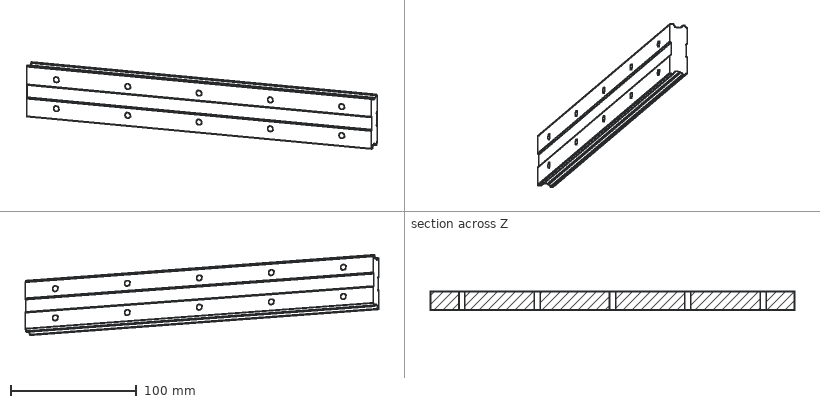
import cadquery as cq
import math

length = 290.0
thickness = 15.0
height = 42.0

ridge_to_back = 3.0
ridge_tip_width = 1.3
ridge_tip_chamfer = 0.45

raceway_radius = 1.7
raceway_start_angle = 11.0
raceway_end_angle = 90.0
foot_slope = 35.0

groove_depth = 2.4
lip_width = 3.0
lip_chamfer = 0.5
lip_wall_angle = 55.0

recess_width = 12.0
recess_depth = 1.0

hole_diameter = 4.5
hole_pitch = 60.0
holes_per_row = 5
row_spacing = 24.0

back = thickness / 2
front = -thickness / 2
top = height / 2
ridge = back - ridge_to_back


def raceway_point(side, angle):
    """Point of the raceway on one flank (side +1 faces the back, -1 the front)."""
    start = math.radians(raceway_start_angle)
    start_offset = ridge_tip_width / 2 + ridge_tip_chamfer
    centre_offset = start_offset + raceway_radius * math.cos(start)
    centre_z = top - ridge_tip_chamfer + raceway_radius * math.sin(start)
    normal = math.radians(angle)
    offset = centre_offset - raceway_radius * math.cos(normal)
    return (ridge + side * offset, centre_z - raceway_radius * math.sin(normal))


def make_upper_half():
    """Upper half of the rail, cut off at its horizontal middle plane."""
    middle_angle = (raceway_start_angle + raceway_end_angle) / 2
    recess_edge = recess_width / 2
    recess_floor_edge = recess_edge - recess_depth
    groove_floor = top - groove_depth
    lip = front + lip_width
    lip_foot = lip + groove_depth / math.tan(math.radians(lip_wall_angle))

    front_foot = raceway_point(-1, raceway_end_angle)
    back_foot = raceway_point(1, raceway_end_angle)
    foot_gradient = math.tan(math.radians(foot_slope))
    groove_back = front_foot[0] - (front_foot[1] - groove_floor) / foot_gradient
    back_corner = back_foot[1] - (back - back_foot[0]) * foot_gradient

    front_outline = [
        (front + recess_depth, recess_floor_edge),
        (front, recess_edge),
        (front, top - lip_chamfer),
        (front + lip_chamfer, top),
        (lip, top),
        (lip_foot, groove_floor),
        (groove_back, groove_floor),
        front_foot,
    ]
    ridge_tip = [
        (ridge - ridge_tip_width / 2, top),
        (ridge + ridge_tip_width / 2, top),
        raceway_point(1, raceway_start_angle),
    ]
    back_outline = [
        (back, back_corner),
        (back, recess_edge),
        (back - recess_depth, recess_floor_edge),
        (back - recess_depth, 0),
    ]
    return (
        cq.Workplane("YZ", origin=(-length / 2, 0, 0))
        .moveTo(front + recess_depth, 0)
        .polyline(front_outline, includeCurrent=True)
        .threePointArc(raceway_point(-1, middle_angle), raceway_point(-1, raceway_start_angle))
        .polyline(ridge_tip, includeCurrent=True)
        .threePointArc(raceway_point(1, middle_angle), back_foot)
        .polyline(back_outline, includeCurrent=True)
        .close()
        .extrude(length)
    )


def make_holes():
    """Grid of cylinders running through the thickness."""
    return (
        cq.Workplane("XZ", origin=(0, back, 0))
        .rarray(hole_pitch, row_spacing, holes_per_row, 2)
        .circle(hole_diameter / 2)
        .extrude(thickness)
    )


upper_half = make_upper_half()
rail = upper_half.union(upper_half.mirror("XY")).clean()
result = rail.cut(make_holes())